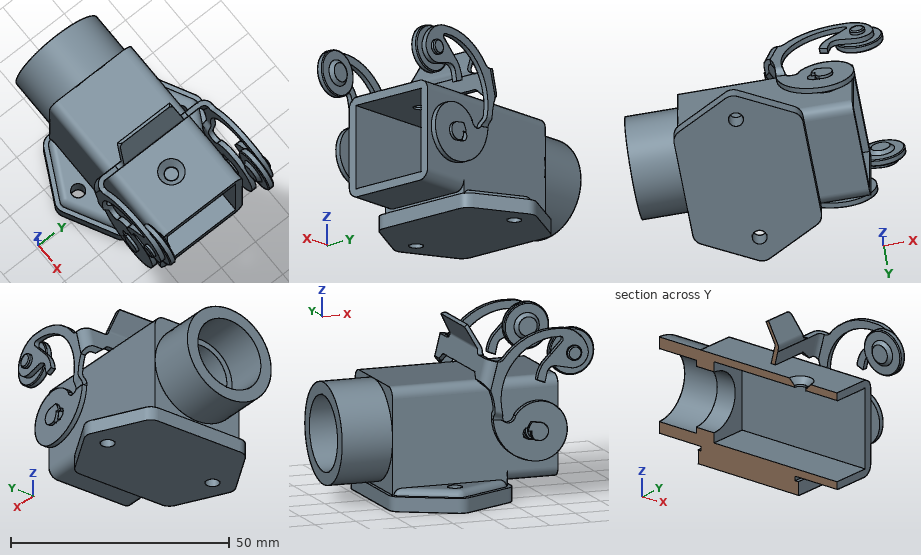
import cadquery as cq
import math


BODY_WIDTH = 24.0
BODY_TOP = 28.5
BODY_REAR = -14.15
BODY_FRONT = 26.5
BODY_FOOT_FRONT = 14.0
INLET_REAR = -26.5
OVERALL_LENGTH = 60.57
INLET_AXIS_Z = BODY_TOP - BODY_WIDTH / 2
BODY_UNDERSIDE = BODY_TOP - BODY_WIDTH
BODY_EDGE_RADIUS = 2.5

BORE_DIAMETER = 18.0
BORE_DEPTH = 11.0
THROAT_DIAMETER = 15.0
WALL = 2.0
CAVITY_REAR = BODY_REAR + 2 * WALL
CAVITY_SIZE = BODY_WIDTH - 2 * WALL

SCREW_X = 15.45
SCREW_DIAMETER = 3.3
SCREW_HEAD_DIAMETER = 6.3
SCREW_HEAD_ANGLE = 90.0

FLANGE_THICKNESS = 3.5
FLANGE_CORNER_RADIUS = 3.0
FLANGE_CORNER_X = 12.0
FLANGE_CORNER_Y = 11.7
FLANGE_APEX_Y = 18.0
PAD_INSET = 1.1
PAD_TOP = 5.0
PAD_EDGE_RADIUS = 1.88
FLANGE_HOLE_Y = 15.0
FLANGE_HOLE_DIAMETER = 3.4

SHEET = 1.25
LEVER_HALF_WIDTH = 16.5
ARM_INNER_Y = LEVER_HALF_WIDTH - SHEET
DISC_INNER_Y = ARM_INNER_Y - SHEET
STRAP_TILT = math.radians(14.0)
BEND_RADIUS = 2 * SHEET

PIVOT_X = 20.5
PIVOT_Z = INLET_AXIS_Z
DISC_RADIUS = 7.0
DISC_ARC_END = 145.0
CROTCH_BOTTOM = (12.95, 19.0)
CAM_RADIUS = 11.2
PIN_COLLAR_DIAMETER = 5.8
PIN_BODY_DIAMETER = 5.2
PIN_COLLAR_LENGTH = 0.45
PIN_BODY_END_Y = 13.45
PIN_HEAD_RADIUS = 2.1
PIN_HEAD_TILT = 8.4
PIN_HEAD_CORNER = (18.6, 18.9)
PIN_HEAD_REAR_MIDDLE = (17.75, 17.3)
PIN_HEAD_REAR_END = (18.0, 14.74)
PIN_HEAD_LENGTH = 0.7
NOTCH_X = 18.0
NOTCH_Z = 16.2
NOTCH_RADIUS = 1.35
KEY_REAR_X = 16.0
KEY_ARC_START_X = 18.55
KEY_ARC_MIDDLE = (18.65, 15.6)
KEY_ARC_END = (19.5, 14.5)
KEY_TOP_Z = 16.8
KEY_BOTTOM_Z = 14.0

ARM_OUTER_CENTRE = (24.0, 24.6)
ARM_OUTER_RADIUS = 15.9
ARM_INNER_CENTRE = (24.5, 24.85)
ARM_INNER_RADIUS = 13.75
ARM_INNER_END = 202.0
ARM_INNER_MIDDLE = 150.0
ARM_INNER_START = 95.0
ARM_OUTER_START = 143.0
ARM_OUTER_MIDDLE = 115.0
ARM_OUTER_END = 86.0
ARM_ROOT_FILLET_MIDDLE = (10.6, 33.8)
EYE_CREST = (30.1, 38.6)
EYE_LOWER_MIDDLE = -45.0
EYE_LOWER_END = -98.0
FINGER_ROOT_FRONT = (24.2, 31.8)
FINGER_FRONT_MIDDLE = (22.6, 31.3)
FINGER_FRONT_END = (21.95, 30.0)
FINGER_TIP_FRONT = (21.5, 28.05)
FINGER_TIP_REAR = (19.65, 28.75)
FINGER_REAR_MIDDLE = (20.15, 30.8)
FINGER_REAR_END = (21.2, 32.7)
CROOK_START = (25.8, 37.4)
CROOK_MIDDLE = (25.95, 38.1)
CROOK_END = (25.4, 38.55)
NECK_BOTTOM_Z = 20.0
NECK_REAR_MIDDLE = (8.95, 24.8)
NECK_REAR_X = PIVOT_X - CAM_RADIUS
JOG_TOP = (NECK_REAR_X, 22.4)
JOG_ANGLE = math.radians(45.0)
JOG_BEND_RADIUS = SHEET

STRAP_TOP_Z = 34.3
STRAP_TOP_FRONT = (9.95, 33.75)
STRAP_BOTTOM_REAR = (6.35, 29.1)
STRAP_BOTTOM_FRONT = (8.2, 27.1)
STRAP_RELIEF_Z = 30.5
STRAP_RELIEF_HALF_WIDTH = 10.1
STRAP_RELIEF_DEPTH = 2.5
STRAP_RELIEF_FLARE = 2.9
TAB_ROOT_Z = 33.0
TAB_TIP_Z = 41.02
TAB_TIP_X = 6.05
TAB_TIP_RUN = 0.85
TAB_TIP_DROP = 0.5
TAB_BEND_LOW_Z = 35.0
TAB_BEND_REAR_MIDDLE = (7.88, 35.4)
TAB_BEND_REAR_END = (7.75, 35.8)
TAB_BEND_FRONT_START = (8.9, 35.8)
TAB_BEND_FRONT_MIDDLE = (9.05, 35.2)
TAB_BEND_FRONT_END = (8.95, 34.6)
TAB_TIP_HALF_WIDTH = 7.6
TAB_ROOT_HALF_WIDTH = 8.8
TAB_FLARE_HALF_WIDTH = 10.25
TAB_FLARE_Z = 34.3
TAB_FLARE_TOP_Z = 35.3
TAB_FLARE_MIDDLE_HALF_WIDTH = 9.3
TAB_FLARE_MIDDLE_Z = 34.6
TAB_CORNER_RADIUS = 1.2

ROLLER_RADIUS = 5.5
ROLLER_X = INLET_REAR + OVERALL_LENGTH - ROLLER_RADIUS
ROLLER_Z = 34.55
ROLLER_THICKNESS = 1.65
ROLLER_EDGE_CHAMFER = 0.25
HUB_BASE_RADIUS = 3.1
HUB_TIP_RADIUS = 2.25
HUB_LENGTH = 0.85
RIVET_RADIUS = 1.75
RIVET_LENGTH = 0.9
RIVET_CHAMFER = 0.3
ARM_EYE_RADIUS = 3.6


def box_between(x, y, z):
    """Box given by its (low, high) limits on each axis."""
    return cq.Workplane("XY").box(
        x[1] - x[0], y[1] - y[0], z[1] - z[0], centered=False
    ).translate((x[0], y[0], z[0]))


def rod_x(diameter, x_start, x_end):
    """Cylinder along X on the inlet axis."""
    plane = cq.Workplane("YZ", origin=(x_start, 0, INLET_AXIS_Z))
    return plane.circle(diameter / 2).extrude(x_end - x_start)


def rod_y(x, z, radius, y_start, y_end):
    """Cylinder along +Y."""
    plane = cq.Workplane("XZ", origin=(x, y_start, z))
    return plane.circle(radius).extrude(y_start - y_end)


def cone_y(x, z, y_start, radius_start, y_end, radius_end):
    """Tapered round boss along Y between two radii."""
    plane = cq.Workplane("XZ", origin=(x, y_start, z)).circle(radius_start)
    return plane.workplane(offset=y_start - y_end).circle(radius_end).loft(combine=True)


def sheet_y(outline, y_start, y_end):
    """Closed XZ outline extruded along +Y between two positions."""
    return outline.extrude(-(y_end - y_start)).translate((0, y_start, 0))


def polar(centre, radius, angle):
    """Point on a circle, angle in degrees."""
    a = math.radians(angle)
    return (centre[0] + radius * math.cos(a), centre[1] + radius * math.sin(a))


def flange_outline(inset, z):
    """Hexagonal plate outline, each corner rounded, moved inwards by inset."""
    corners = [
        (FLANGE_CORNER_X, FLANGE_CORNER_Y),
        (0, FLANGE_APEX_Y),
        (-FLANGE_CORNER_X, FLANGE_CORNER_Y),
        (-FLANGE_CORNER_X, -FLANGE_CORNER_Y),
        (0, -FLANGE_APEX_Y),
        (FLANGE_CORNER_X, -FLANGE_CORNER_Y),
    ]
    hexagon = cq.Workplane("XY", origin=(0, 0, z)).polyline(corners).close()
    return hexagon.offset2D(FLANGE_CORNER_RADIUS - inset)


def flange():
    """Plate with a round-edged pad on top."""
    plate = flange_outline(0, 0).extrude(FLANGE_THICKNESS)
    pad = flange_outline(PAD_INSET, 0).extrude(PAD_TOP)
    pad = pad.faces(">Z").edges().fillet(PAD_EDGE_RADIUS)
    return plate.union(pad)


def housing():
    """Hollow body on its flange, with the cable inlet, roof screw hole and flange holes."""
    half = BODY_WIDTH / 2
    sides = (-half, half)
    block = box_between((BODY_REAR, BODY_FRONT), sides, (BODY_UNDERSIDE, BODY_TOP))
    block = block.edges("|X").edges(">Z").fillet(BODY_EDGE_RADIUS)
    block = block.edges("|X").edges("<Z").fillet(BODY_EDGE_RADIUS)
    foot = box_between((BODY_REAR, BODY_FOOT_FRONT), sides, (0, INLET_AXIS_Z))
    body = block.union(foot).union(flange()).union(rod_x(BODY_WIDTH, INLET_REAR, BODY_REAR))

    throat_start = INLET_REAR + BORE_DEPTH
    body = body.cut(rod_x(BORE_DIAMETER, INLET_REAR, throat_start))
    body = body.cut(rod_x(THROAT_DIAMETER, throat_start, CAVITY_REAR))
    half_cavity = CAVITY_SIZE / 2
    cavity_z = (INLET_AXIS_Z - half_cavity, INLET_AXIS_Z + half_cavity)
    body = body.cut(box_between((CAVITY_REAR, BODY_FRONT), (-half_cavity, half_cavity), cavity_z))

    roof = cq.Workplane("XY", origin=(SCREW_X, 0, BODY_TOP))
    sink_depth = (SCREW_HEAD_DIAMETER - SCREW_DIAMETER) / 2 / math.tan(math.radians(SCREW_HEAD_ANGLE / 2))
    body = body.cut(roof.circle(SCREW_DIAMETER / 2).extrude(-2 * WALL))
    sink = roof.circle(SCREW_HEAD_DIAMETER / 2).workplane(offset=-sink_depth).circle(SCREW_DIAMETER / 2)
    body = body.cut(sink.loft(combine=True))

    holes = cq.Workplane("XY").pushPoints([(0, FLANGE_HOLE_Y), (0, -FLANGE_HOLE_Y)])
    return body.cut(holes.circle(FLANGE_HOLE_DIAMETER / 2).extrude(PAD_TOP))


def arm_outer(angle):
    """Point on the arm's outer curve."""
    return polar(ARM_OUTER_CENTRE, ARM_OUTER_RADIUS, angle)


def arm_inner(angle):
    """Point on the arm's inner curve."""
    return polar(ARM_INNER_CENTRE, ARM_INNER_RADIUS, angle)


def arm_outline():
    """Curved arm with the roller eye, the hooked finger and the neck down to the jog."""
    def eye(angle):
        return polar((ROLLER_X, ROLLER_Z), ARM_EYE_RADIUS, angle)

    return (
        cq.Workplane("XZ")
        .moveTo(*STRAP_TOP_FRONT)
        .threePointArc(ARM_ROOT_FILLET_MIDDLE, arm_outer(ARM_OUTER_START))
        .threePointArc(arm_outer(ARM_OUTER_MIDDLE), arm_outer(ARM_OUTER_END))
        .threePointArc(EYE_CREST, eye(0))
        .threePointArc(eye(EYE_LOWER_MIDDLE), eye(EYE_LOWER_END))
        .lineTo(*FINGER_ROOT_FRONT)
        .threePointArc(FINGER_FRONT_MIDDLE, FINGER_FRONT_END)
        .lineTo(*FINGER_TIP_FRONT)
        .lineTo(*FINGER_TIP_REAR)
        .threePointArc(FINGER_REAR_MIDDLE, FINGER_REAR_END)
        .lineTo(*CROOK_START)
        .threePointArc(CROOK_MIDDLE, CROOK_END)
        .lineTo(*arm_inner(ARM_INNER_START))
        .threePointArc(arm_inner(ARM_INNER_MIDDLE), arm_inner(ARM_INNER_END))
        .lineTo(NECK_REAR_X, NECK_BOTTOM_Z)
        .lineTo(*JOG_TOP)
        .threePointArc(NECK_REAR_MIDDLE, STRAP_BOTTOM_FRONT)
        .close()
    )


def disc_outline():
    """Pivot disc running into the cam-shaped rear edge and up into the neck."""
    pivot = (PIVOT_X, PIVOT_Z)
    cam = (PIVOT_X, PIVOT_Z - DISC_RADIUS + CAM_RADIUS)
    return (
        cq.Workplane("XZ")
        .moveTo(*polar(cam, CAM_RADIUS, 180))
        .threePointArc(polar(cam, CAM_RADIUS, 225), polar(cam, CAM_RADIUS, 270))
        .threePointArc(polar(pivot, DISC_RADIUS, 0), polar(pivot, DISC_RADIUS, DISC_ARC_END))
        .threePointArc(CROTCH_BOTTOM, arm_inner(ARM_INNER_END))
        .close()
    )


def tilted_plane(origin, along_strap):
    """Plane whose normal runs along the strap (True) or through its thickness (False)."""
    up = (math.sin(STRAP_TILT), 0, math.cos(STRAP_TILT))
    through = (math.cos(STRAP_TILT), 0, -math.sin(STRAP_TILT))
    place = (origin[0], 0, origin[1])
    if along_strap:
        return cq.Workplane(cq.Plane(place, xDir=through, normal=up))
    return cq.Workplane(cq.Plane(place, xDir=(0, 1, 0), normal=through))


def jog_curve(y, start):
    """Points of an inward step by one sheet thickness: bend, slope and reverse bend."""
    def bend_point(angle):
        return (JOG_BEND_RADIUS * (1 - math.cos(angle)), JOG_BEND_RADIUS * math.sin(angle))

    half_in, half_down = bend_point(JOG_ANGLE / 2)
    full_in, full_down = bend_point(JOG_ANGLE)
    drop = 2 * full_down + (SHEET - 2 * full_in) / math.tan(JOG_ANGLE)
    return [
        (y, start),
        (y - half_in, start - half_down),
        (y - full_in, start - full_down),
        (y - SHEET + full_in, start - drop + full_down),
        (y - SHEET + half_in, start - drop + half_down),
        (y - SHEET, start - drop),
    ]


def jog_band():
    """Band that follows the inward step of the sheet; limits the arm in Y."""
    far = 2 * BODY_TOP
    outer = jog_curve(LEVER_HALF_WIDTH, 0)
    inner = jog_curve(ARM_INNER_Y, SHEET * math.tan(JOG_ANGLE / 2))[::-1]
    section = (
        tilted_plane(JOG_TOP, False)
        .moveTo(LEVER_HALF_WIDTH, far)
        .lineTo(*outer[0])
        .threePointArc(outer[1], outer[2])
        .lineTo(*outer[3])
        .threePointArc(outer[4], outer[5])
        .lineTo(ARM_INNER_Y, -far)
        .lineTo(DISC_INNER_Y, -far)
        .lineTo(*inner[0])
        .threePointArc(inner[1], inner[2])
        .lineTo(*inner[3])
        .threePointArc(inner[4], inner[5])
        .lineTo(ARM_INNER_Y, far)
        .close()
    )
    return section.extrude(far, both=True)


def pin_head_outline():
    """Pin head: round at the front, widening between two tilted flats towards the rear."""
    axis = (PIVOT_X, PIVOT_Z)
    return (
        cq.Workplane("XZ")
        .moveTo(*PIN_HEAD_CORNER)
        .threePointArc(PIN_HEAD_REAR_MIDDLE, PIN_HEAD_REAR_END)
        .lineTo(*polar(axis, PIN_HEAD_RADIUS, 270 - PIN_HEAD_TILT))
        .threePointArc(polar(axis, PIN_HEAD_RADIUS, 0), polar(axis, PIN_HEAD_RADIUS, 90 - PIN_HEAD_TILT))
        .close()
    )


def key_outline():
    """Lower rear part of the pin head that is cut away beside the notch."""
    return (
        cq.Workplane("XZ")
        .moveTo(KEY_REAR_X, KEY_TOP_Z)
        .lineTo(KEY_ARC_START_X, KEY_TOP_Z)
        .threePointArc(KEY_ARC_MIDDLE, KEY_ARC_END)
        .lineTo(KEY_ARC_END[0], KEY_BOTTOM_Z)
        .lineTo(KEY_REAR_X, KEY_BOTTOM_Z)
        .close()
    )


def pivot_pin():
    """Stepped pin between body side and disc, with its head outside the disc."""
    side = BODY_WIDTH / 2
    collar_end = side + PIN_COLLAR_LENGTH
    body_radius = PIN_BODY_DIAMETER / 2
    pin = cone_y(PIVOT_X, PIVOT_Z, side, PIN_COLLAR_DIAMETER / 2, collar_end, body_radius)
    pin = pin.union(rod_y(PIVOT_X, PIVOT_Z, body_radius, side - WALL / 2, PIN_BODY_END_Y))
    pin = pin.union(rod_y(PIVOT_X, PIVOT_Z, PIN_HEAD_RADIUS, side, ARM_INNER_Y))
    head = pin_head_outline().extrude(-PIN_HEAD_LENGTH).cut(key_outline().extrude(-PIN_HEAD_LENGTH))
    return pin.union(head.translate((0, ARM_INNER_Y, 0)))


def disc_notch():
    """Key notch through the disc: a round end joined to the relieved part of the pin head."""
    end = rod_y(NOTCH_X, NOTCH_Z, NOTCH_RADIUS, DISC_INNER_Y, ARM_INNER_Y)
    relieved = sheet_y(pin_head_outline(), DISC_INNER_Y, ARM_INNER_Y)
    relieved = relieved.intersect(sheet_y(key_outline(), DISC_INNER_Y, ARM_INNER_Y))
    return end.union(relieved)


def roller():
    """Roller with tapered hub inside the arm and a rivet head outside it."""
    inner_y = ARM_INNER_Y - ROLLER_THICKNESS
    hub_y = inner_y - HUB_LENGTH
    rivet_y = LEVER_HALF_WIDTH + RIVET_LENGTH
    wheel = rod_y(ROLLER_X, ROLLER_Z, ROLLER_RADIUS, inner_y, ARM_INNER_Y)
    wheel = wheel.edges().chamfer(ROLLER_EDGE_CHAMFER)
    hub = cone_y(ROLLER_X, ROLLER_Z, inner_y, HUB_BASE_RADIUS, hub_y, HUB_TIP_RADIUS)
    rivet = rod_y(ROLLER_X, ROLLER_Z, RIVET_RADIUS, inner_y, rivet_y).faces(">Y").chamfer(RIVET_CHAMFER)
    return wheel.union(hub).union(rivet)


def lever_side():
    """Everything on the +Y side: arm, disc, pin and roller."""
    arm = sheet_y(arm_outline(), DISC_INNER_Y, LEVER_HALF_WIDTH).intersect(jog_band())
    disc = sheet_y(disc_outline(), DISC_INNER_Y, ARM_INNER_Y)
    return arm.union(disc).cut(disc_notch()).union(pivot_pin()).union(roller())


def channel(reach, half_width, radius, start, length):
    """Tilted bar with its two rear edges rounded, starting at a depth behind the strap face."""
    u = math.sqrt(0.5) * radius
    shape = (
        tilted_plane(STRAP_BOTTOM_REAR, True)
        .moveTo(reach, -half_width)
        .lineTo(start + radius, -half_width)
        .threePointArc((start + radius - u, -half_width + radius - u), (start, -half_width + radius))
        .lineTo(start, half_width - radius)
        .threePointArc((start + radius - u, half_width - radius + u), (start + radius, half_width))
        .lineTo(reach, half_width)
        .close()
    )
    return shape.extrude(length, both=True)


def strap_face_x(z):
    """X of the strap's rear face at a given height."""
    return STRAP_BOTTOM_REAR[0] + (z - STRAP_BOTTOM_REAR[1]) * math.tan(STRAP_TILT)


def strap():
    """Cross strap bent into both arms, its lower edge relieved over the housing roof."""
    length = BODY_WIDTH
    outer = channel(2 * BEND_RADIUS, LEVER_HALF_WIDTH, BEND_RADIUS, 0, length)
    inner = channel(3 * BEND_RADIUS, ARM_INNER_Y, BEND_RADIUS - SHEET, SHEET, length)
    side = [(strap_face_x(STRAP_TOP_Z), STRAP_TOP_Z), STRAP_TOP_FRONT, STRAP_BOTTOM_FRONT, STRAP_BOTTOM_REAR]
    limit = cq.Workplane("XZ").polyline(side).close().extrude(LEVER_HALF_WIDTH, both=True)
    relief_bottom = STRAP_RELIEF_Z - STRAP_RELIEF_DEPTH
    relief_half = STRAP_RELIEF_HALF_WIDTH + STRAP_RELIEF_FLARE
    relief = [
        (-STRAP_RELIEF_HALF_WIDTH, STRAP_RELIEF_Z),
        (STRAP_RELIEF_HALF_WIDTH, STRAP_RELIEF_Z),
        (relief_half, relief_bottom),
        (-relief_half, relief_bottom),
    ]
    relief_cut = cq.Workplane("YZ").polyline(relief).close().extrude(length)
    return outer.cut(inner).intersect(limit).cut(relief_cut)


def thumb_tab():
    """Bent tab rising from the middle of the strap."""
    sheet_x = SHEET / math.cos(STRAP_TILT)
    profile = (
        cq.Workplane("XZ")
        .moveTo(strap_face_x(TAB_ROOT_Z), TAB_ROOT_Z)
        .lineTo(strap_face_x(TAB_BEND_LOW_Z), TAB_BEND_LOW_Z)
        .threePointArc(TAB_BEND_REAR_MIDDLE, TAB_BEND_REAR_END)
        .lineTo(TAB_TIP_X - TAB_TIP_RUN, TAB_TIP_Z - TAB_TIP_DROP)
        .lineTo(TAB_TIP_X, TAB_TIP_Z)
        .lineTo(*TAB_BEND_FRONT_START)
        .threePointArc(TAB_BEND_FRONT_MIDDLE, TAB_BEND_FRONT_END)
        .lineTo(strap_face_x(TAB_ROOT_Z) + sheet_x, TAB_ROOT_Z)
        .close()
    )
    bent = profile.extrude(LEVER_HALF_WIDTH, both=True)
    flare_y = TAB_FLARE_MIDDLE_HALF_WIDTH
    face = (
        cq.Workplane("YZ")
        .moveTo(-TAB_FLARE_HALF_WIDTH, TAB_ROOT_Z)
        .lineTo(-TAB_FLARE_HALF_WIDTH, TAB_FLARE_Z)
        .threePointArc((-flare_y, TAB_FLARE_MIDDLE_Z), (-TAB_ROOT_HALF_WIDTH, TAB_FLARE_TOP_Z))
        .lineTo(-TAB_TIP_HALF_WIDTH, TAB_TIP_Z)
        .lineTo(TAB_TIP_HALF_WIDTH, TAB_TIP_Z)
        .lineTo(TAB_ROOT_HALF_WIDTH, TAB_FLARE_TOP_Z)
        .threePointArc((flare_y, TAB_FLARE_MIDDLE_Z), (TAB_FLARE_HALF_WIDTH, TAB_FLARE_Z))
        .lineTo(TAB_FLARE_HALF_WIDTH, TAB_ROOT_Z)
        .close()
        .extrude(BODY_FRONT)
        .edges("|X")
        .edges(">Z")
        .fillet(TAB_CORNER_RADIUS)
    )
    return bent.intersect(face)


side = lever_side()
lever = strap().union(thumb_tab()).union(side).union(side.mirror("XZ"))
result = housing().union(lever)